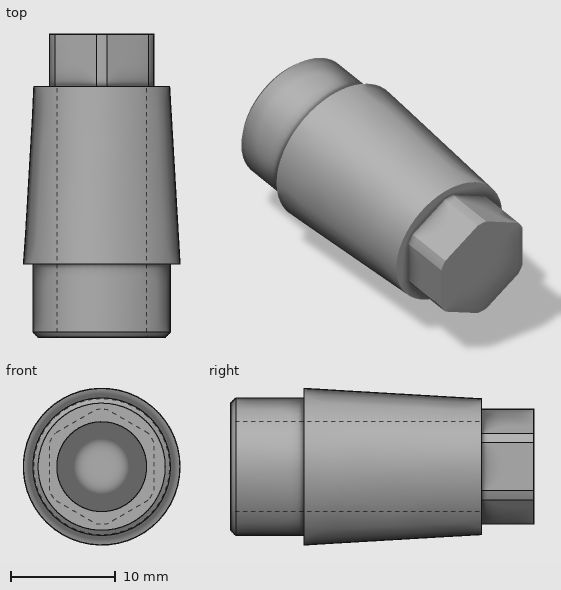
import cadquery as cq

SPIGOT_LENGTH = 7.0
BODY_LENGTH = 17.0
HEX_LENGTH = 5.0

SPIGOT_DIAMETER = 13.16
SPIGOT_CHAMFER = 0.5
BODY_LARGE_DIAMETER = 15.0
BODY_SMALL_DIAMETER = 13.0
BORE_DIAMETER = 8.6

HEX_ACROSS_FLATS = 10.0
HEX_CORNER_DIAMETER = 11.0
HEX_SIDES = 6

OPEN_END_Y = 0.0
SHOULDER_Y = OPEN_END_Y + SPIGOT_LENGTH
BODY_END_Y = SHOULDER_Y + BODY_LENGTH
BORE_DEPTH = BODY_END_Y - OPEN_END_Y


def plane_at(y):
    """Workplane across the axis at the given Y, with its normal along +Y."""
    return cq.Workplane(cq.Plane(origin=(0, y, 0), xDir=(1, 0, 0), normal=(0, 1, 0)))


def make_spigot():
    """Plain cylinder with a chamfered rim at the open end."""
    cylinder = plane_at(OPEN_END_Y).circle(SPIGOT_DIAMETER / 2).extrude(SPIGOT_LENGTH)
    return cylinder.faces("<Y").chamfer(SPIGOT_CHAMFER)


def make_body():
    """Tapered body, widest at the shoulder next to the spigot."""
    profile = [
        (0, SHOULDER_Y),
        (BODY_LARGE_DIAMETER / 2, SHOULDER_Y),
        (BODY_SMALL_DIAMETER / 2, BODY_END_Y),
        (0, BODY_END_Y),
    ]
    return cq.Workplane("XY").polyline(profile).close().revolve(360, (0, 0, 0), (0, 1, 0))


def make_hex():
    """Hexagon with flats facing -X and +X and its corners turned down to a cylinder."""
    hexagon = (
        plane_at(BODY_END_Y)
        .polygon(HEX_SIDES, HEX_ACROSS_FLATS, circumscribed=True)
        .extrude(HEX_LENGTH)
    )
    corner_limit = plane_at(BODY_END_Y).circle(HEX_CORNER_DIAMETER / 2).extrude(HEX_LENGTH)
    return hexagon.intersect(corner_limit)


def make_bore():
    """Flat-bottomed blind bore entering from the open end."""
    return plane_at(OPEN_END_Y).circle(BORE_DIAMETER / 2).extrude(BORE_DEPTH)


result = make_spigot().union(make_body()).union(make_hex()).cut(make_bore())